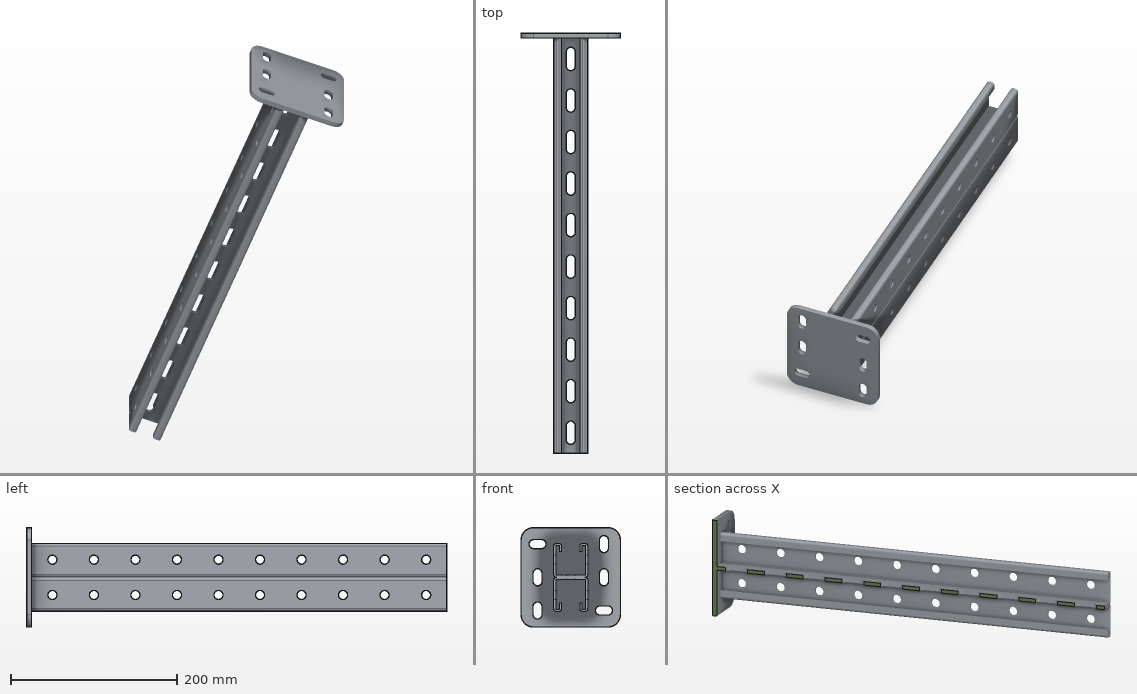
import cadquery as cq

total_length = 506.0

plate_side = 120.0
plate_thickness = 6.0
plate_corner_radius = 15.0
plate_slot_offset = 40.0
plate_slot_length = 20.0
plate_slot_width = 10.5

channel_width = 41.0
channel_height = 41.0
wall = 2.5
bend_radius = 3.5
lip_width = 9.5
lip_depth = 10.0

hole_count = 10
side_hole_diameter = 10.5
side_hole_height = 21.0
web_slot_length = 28.0
web_slot_width = 10.5

arm_length = total_length - plate_thickness
arm_start = -plate_thickness
pitch = arm_length / hole_count
hole_rows = [arm_start - (i + 0.5) * pitch for i in range(hole_count)]


def make_plate():
    """Square plate with rounded corners and six slots, alike after a half turn about Y."""
    plate = (
        cq.Workplane("XY")
        .box(plate_side, plate_thickness, plate_side)
        .edges("|Y")
        .fillet(plate_corner_radius)
        .translate((0, arm_start + plate_thickness / 2, 0))
    )
    d = plate_slot_offset
    upright_places = [(-d, -d), (-d, 0), (d, 0), (d, d)]
    level_places = [(-d, d), (d, -d)]
    for places, angle in ((upright_places, 90), (level_places, 0)):
        slots = (
            cq.Workplane("XZ")
            .pushPoints(places)
            .slot2D(plate_slot_length, plate_slot_width, angle)
            .extrude(plate_thickness)
        )
        plate = plate.cut(slots)
    return plate


def make_half_channel():
    """Bent strip on the +X side: half the web on Z = 0, the side wall, then the turned-in lip."""
    mid_radius = bend_radius - wall / 2
    web_z = wall / 2
    side_x = (channel_width - wall) / 2
    top_z = channel_height - wall / 2
    lip_x = channel_width / 2 - lip_width + wall / 2
    middle_line = (
        cq.Workplane("XZ", origin=(0, arm_start, 0))
        .moveTo(0, web_z)
        .lineTo(side_x - mid_radius, web_z)
        .tangentArcPoint((side_x, web_z + mid_radius), relative=False)
        .lineTo(side_x, top_z - mid_radius)
        .tangentArcPoint((side_x - mid_radius, top_z), relative=False)
        .lineTo(lip_x + mid_radius, top_z)
        .tangentArcPoint((lip_x, top_z - mid_radius), relative=False)
        .lineTo(lip_x, channel_height - lip_depth)
    )
    return (
        cq.Workplane("YZ")
        .center(arm_start - arm_length / 2, web_z)
        .rect(arm_length, wall)
        .sweep(middle_line)
    )


def make_arm():
    """Two perforated channels, back to back, one opening up and one opening down."""
    half = make_half_channel()
    upper = half.union(half.mirror("YZ"))
    arm = upper.union(upper.mirror("XY"))

    web_slots = (
        cq.Workplane("XY", origin=(0, 0, -wall))
        .pushPoints([(0, y) for y in hole_rows])
        .slot2D(web_slot_length, web_slot_width, 90)
        .extrude(2 * wall)
    )
    side_holes = (
        cq.Workplane("YZ", origin=(-channel_width / 2, 0, 0))
        .pushPoints([(y, z) for y in hole_rows for z in (-side_hole_height, side_hole_height)])
        .circle(side_hole_diameter / 2)
        .extrude(channel_width)
    )
    return arm.cut(web_slots).cut(side_holes)


result = make_plate().union(make_arm())